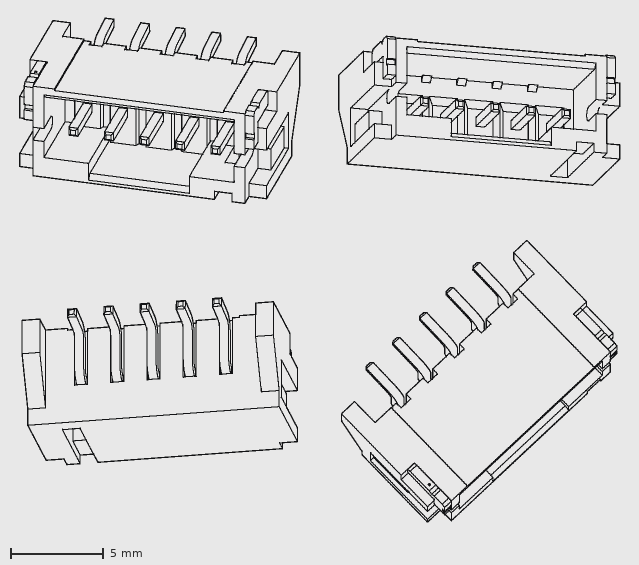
import cadquery as cq
import math


TOTAL_WIDTH = 13.9
TOTAL_LENGTH = 8.6
TOTAL_HEIGHT = 5.62

HALF_WIDTH = TOTAL_WIDTH / 2
FLANK_THICKNESS = 0.99
SHELL_HALF_WIDTH = HALF_WIDTH - FLANK_THICKNESS
SHELL_LENGTH = 5.99
SIDE_HEIGHT = 5.5
ROOF_DROP = 0.1
ROOF_HEIGHT = SIDE_HEIGHT - ROOF_DROP
ROOF_HALF_WIDTH = 4.75

FLANK_FRONT = 0.83
FLANK_REAR = 7.6
SLOPE_TOP = 3.55
SLOPE_BOTTOM = 0.95
RECESS_BOTTOM = 0.8
RECESS_TOP = 2.99
RECESS_REAR = 5.32
RIB_FRONT = 2.64
RIB_HEIGHT = 1.29
RIB_THICKNESS = 0.74

CAVITY_HALF_WIDTH = 5.35
CAVITY_DEPTH = 4.3
CEILING = 4.78
LEDGE_TOP = 1.21
TRENCH_HALF_WIDTH = 2.84
TRENCH_FLOOR = 0.46
LIP_CHAMFER = 0.28

SLOT_WIDTH = 0.79
SLOT_DEPTH = 1.78

KEYWAY_LEFT = 4.25
KEYWAY_WIDTH = 0.97
KEYWAY_HEIGHT = 0.5
KEYWAY_STEP_Y = 2.1
KEYWAY_REAR = 5.0

PIN_COUNT = 5
PIN_PITCH = 2.0
PIN_SIZE = 0.5
PIN_TIP_CHAMFER = 0.11
PIN_FRONT = 1.03
PIN_Z = 2.4
RISER_Y = 6.27
BEND_RADIUS = 0.64
LEAD_TOP = 5.6
LEAD_ANGLE = math.radians(5)

BLOCK_FRONT = 4.03
BLOCK_FRONT_HALF_WIDTH = 0.71
BLOCK_FRONT_TOP = 3.13
BLOCK_REAR_HALF_WIDTH = 0.8
BLOCK_REAR_TOP = 3.71

GUSSET_WIDTH = 0.5
GUSSET_SIZE = 0.3

NOTCH_WIDTH = 0.72
NOTCH_DEPTH = 0.38

TAB_THICKNESS = 0.5
TAB_LENGTH = 2.9
TAB_LEG_BOTTOM = 3.39
TAB_ARM_BOTTOM = 4.65
TAB_CHAMFER = 0.2
TAB_GROOVE_Y = 1.01
TAB_POCKET_FLOOR = 4.31
TAB_NOTCH_BOTTOM = 3.98
TAB_NOTCH_DEPTH = 0.18
TAB_MARK_Y = 1.46
TAB_MARK_SIZE = 0.1

PIN_POSITIONS = [(i - (PIN_COUNT - 1) / 2) * PIN_PITCH for i in range(PIN_COUNT)]
GUSSET_POSITIONS = [x + PIN_PITCH / 2 for x in PIN_POSITIONS[:-1]]


def block(x0, x1, y0, y1, z0, z1):
    """Box between two opposite corners."""
    return cq.Workplane("XY").box(x1 - x0, y1 - y0, z1 - z0, centered=False).translate((x0, y0, z0))


def side_prism(points, x0, x1):
    """Outline of (Y, Z) points extruded from x0 to x1."""
    return cq.Workplane("YZ", origin=(x0, 0, 0)).polyline(points).close().extrude(x1 - x0)


def mirrored_pair(body):
    """Body together with its mirror image on the other side of the housing."""
    return body.union(body.mirror("YZ"))


def make_shell():
    shell = block(-SHELL_HALF_WIDTH, SHELL_HALF_WIDTH, 0, SHELL_LENGTH, 0, SIDE_HEIGHT)
    lowered_roof = block(-ROOF_HALF_WIDTH, ROOF_HALF_WIDTH, 0, SHELL_LENGTH, ROOF_HEIGHT, SIDE_HEIGHT)
    return shell.cut(lowered_roof)


def make_flank():
    """Left flank: sloped rear, tab pocket at the top front, and a recess that holds a rib."""
    outline = [
        (FLANK_FRONT, 0),
        (SHELL_LENGTH, 0),
        (SHELL_LENGTH, SLOPE_BOTTOM),
        (FLANK_REAR, SLOPE_TOP),
        (FLANK_REAR, SIDE_HEIGHT),
        (TAB_LENGTH, SIDE_HEIGHT),
        (TAB_LENGTH, TAB_POCKET_FLOOR),
        (FLANK_FRONT, TAB_POCKET_FLOOR),
    ]
    flank = side_prism(outline, -HALF_WIDTH, -SHELL_HALF_WIDTH)
    recess = block(-HALF_WIDTH, -SHELL_HALF_WIDTH, FLANK_FRONT, RECESS_REAR, RECESS_BOTTOM, RECESS_TOP)
    rib = block(
        -SHELL_HALF_WIDTH - RIB_THICKNESS, -SHELL_HALF_WIDTH,
        RIB_FRONT, RECESS_REAR,
        RECESS_BOTTOM, RECESS_BOTTOM + RIB_HEIGHT,
    )
    return flank.cut(recess).union(rib)


def make_cavity():
    """Mating cavity with a deeper central trench; both have a chamfered lip at the mouth."""
    upper_outline = [
        (0, LEDGE_TOP),
        (CAVITY_DEPTH, LEDGE_TOP),
        (CAVITY_DEPTH, CEILING),
        (LIP_CHAMFER, CEILING),
        (0, CEILING + LIP_CHAMFER),
    ]
    trench_outline = [
        (0, TRENCH_FLOOR - LIP_CHAMFER),
        (LIP_CHAMFER, TRENCH_FLOOR),
        (CAVITY_DEPTH, TRENCH_FLOOR),
        (CAVITY_DEPTH, LEDGE_TOP),
        (0, LEDGE_TOP),
    ]
    upper = side_prism(upper_outline, -CAVITY_HALF_WIDTH, CAVITY_HALF_WIDTH)
    trench = side_prism(trench_outline, -TRENCH_HALF_WIDTH, TRENCH_HALF_WIDTH)
    return upper.union(trench)


def make_side_slots():
    """Slot through both side walls, open at the front and round at its end."""
    radius = SLOT_WIDTH / 2
    arc_start = SLOT_DEPTH - radius
    bottom = RECESS_TOP - SLOT_WIDTH
    slot = (
        cq.Workplane("YZ", origin=(-SHELL_HALF_WIDTH, 0, 0))
        .moveTo(0, bottom)
        .lineTo(arc_start, bottom)
        .threePointArc((SLOT_DEPTH, bottom + radius), (arc_start, RECESS_TOP))
        .lineTo(0, RECESS_TOP)
        .close()
        .extrude(SHELL_HALF_WIDTH - CAVITY_HALF_WIDTH)
    )
    return mirrored_pair(slot)


def make_keyway():
    right = KEYWAY_LEFT + KEYWAY_WIDTH
    shallow_part = block(KEYWAY_LEFT, right, 0, KEYWAY_STEP_Y, 0, KEYWAY_HEIGHT)
    deep_part = block(KEYWAY_LEFT, right, KEYWAY_STEP_Y, KEYWAY_REAR, 0, LEDGE_TOP)
    return shallow_part.union(deep_part)


def make_root_block(x):
    """Block around one pin root, with a sloped top and sides that taper towards the front."""
    side_outline = [
        (BLOCK_FRONT, TRENCH_FLOOR),
        (CAVITY_DEPTH, TRENCH_FLOOR),
        (CAVITY_DEPTH, BLOCK_REAR_TOP),
        (BLOCK_FRONT, BLOCK_FRONT_TOP),
    ]
    plan_outline = [
        (x - BLOCK_FRONT_HALF_WIDTH, BLOCK_FRONT),
        (x + BLOCK_FRONT_HALF_WIDTH, BLOCK_FRONT),
        (x + BLOCK_REAR_HALF_WIDTH, CAVITY_DEPTH),
        (x - BLOCK_REAR_HALF_WIDTH, CAVITY_DEPTH),
    ]
    plan = cq.Workplane("XY").polyline(plan_outline).close().extrude(BLOCK_REAR_TOP)
    return side_prism(side_outline, x - BLOCK_REAR_HALF_WIDTH, x + BLOCK_REAR_HALF_WIDTH).intersect(plan)


def make_gusset(x):
    outline = [
        (CAVITY_DEPTH, CEILING),
        (CAVITY_DEPTH, CEILING - GUSSET_SIZE),
        (CAVITY_DEPTH - GUSSET_SIZE, CEILING),
    ]
    return side_prism(outline, x - GUSSET_WIDTH / 2, x + GUSSET_WIDTH / 2)


def make_rear_notch(x):
    return block(
        x - NOTCH_WIDTH / 2, x + NOTCH_WIDTH / 2,
        SHELL_LENGTH - NOTCH_DEPTH, SHELL_LENGTH,
        PIN_Z - PIN_SIZE / 2, SIDE_HEIGHT,
    )


def make_pin(x):
    """Square pin that runs rearwards, rises behind the shell and ends in a slightly rising lead."""
    half = PIN_SIZE / 2
    tip_y = TOTAL_LENGTH - (half - PIN_TIP_CHAMFER) * math.sin(LEAD_ANGLE)
    tip_z = LEAD_TOP - half * math.cos(LEAD_ANGLE) + PIN_TIP_CHAMFER * math.sin(LEAD_ANGLE)

    upper_centre_y = RISER_Y + BEND_RADIUS
    lead_start_y = upper_centre_y - BEND_RADIUS * math.sin(LEAD_ANGLE)
    lead_start_z = tip_z - (tip_y - lead_start_y) * math.tan(LEAD_ANGLE)
    upper_centre_z = lead_start_z - BEND_RADIUS * math.cos(LEAD_ANGLE)
    upper_middle = math.pi * 3 / 4

    lower_centre_y = RISER_Y - BEND_RADIUS
    lower_centre_z = PIN_Z + BEND_RADIUS
    diagonal = BEND_RADIUS * math.sqrt(0.5)

    path = (
        cq.Workplane("YZ", origin=(x, 0, 0))
        .moveTo(PIN_FRONT, PIN_Z)
        .lineTo(lower_centre_y, PIN_Z)
        .threePointArc((lower_centre_y + diagonal, lower_centre_z - diagonal), (RISER_Y, lower_centre_z))
        .lineTo(RISER_Y, upper_centre_z)
        .threePointArc(
            (
                upper_centre_y + BEND_RADIUS * math.cos(upper_middle),
                upper_centre_z + BEND_RADIUS * math.sin(upper_middle),
            ),
            (lead_start_y, lead_start_z),
        )
        .lineTo(tip_y, tip_z)
    )
    section = cq.Workplane("XZ", origin=(x, PIN_FRONT, PIN_Z)).rect(PIN_SIZE, PIN_SIZE)
    pin = section.sweep(path)
    return pin.faces("<Y or >Y").edges().chamfer(PIN_TIP_CHAMFER)


def make_housing():
    housing = make_shell().union(mirrored_pair(make_flank()))
    housing = housing.cut(make_cavity()).cut(make_side_slots())
    for x in GUSSET_POSITIONS:
        housing = housing.union(make_gusset(x))
    for x in PIN_POSITIONS:
        housing = housing.union(make_root_block(x)).cut(make_rear_notch(x)).union(make_pin(x))
    return housing.cut(make_keyway())


def make_tab():
    """Left solder tab: an arm along the housing and a leg down its front, in one flat plate."""
    outline = [
        (0, TAB_LEG_BOTTOM),
        (FLANK_FRONT, TAB_LEG_BOTTOM),
        (FLANK_FRONT, TAB_ARM_BOTTOM),
        (TAB_LENGTH, TAB_ARM_BOTTOM),
        (TAB_LENGTH, TOTAL_HEIGHT - TAB_CHAMFER),
        (TAB_LENGTH - TAB_CHAMFER, TOTAL_HEIGHT),
        (TAB_GROOVE_Y + TAB_CHAMFER, TOTAL_HEIGHT),
        (TAB_GROOVE_Y, TOTAL_HEIGHT - TAB_CHAMFER),
        (TAB_GROOVE_Y - TAB_CHAMFER, TOTAL_HEIGHT),
        (TAB_CHAMFER, TOTAL_HEIGHT),
        (0, TOTAL_HEIGHT - TAB_CHAMFER),
        (0, TAB_POCKET_FLOOR),
        (TAB_NOTCH_DEPTH, TAB_POCKET_FLOOR),
        (TAB_NOTCH_DEPTH, TAB_NOTCH_BOTTOM),
        (0, TAB_NOTCH_BOTTOM),
    ]
    return side_prism(outline, -SHELL_HALF_WIDTH - TAB_THICKNESS, -SHELL_HALF_WIDTH)


def make_tab_mark():
    """Tiny square dimple in the top of the left tab."""
    centre = (-SHELL_HALF_WIDTH - TAB_THICKNESS / 2, TAB_MARK_Y, TOTAL_HEIGHT)
    return cq.Workplane("XY").box(TAB_MARK_SIZE, TAB_MARK_SIZE, TAB_MARK_SIZE).translate(centre)


housing = make_housing()
right_tab = make_tab().mirror("YZ")
left_tab = make_tab().cut(make_tab_mark())

result = cq.Compound.makeCompound([housing.val(), left_tab.val(), right_tab.val()])